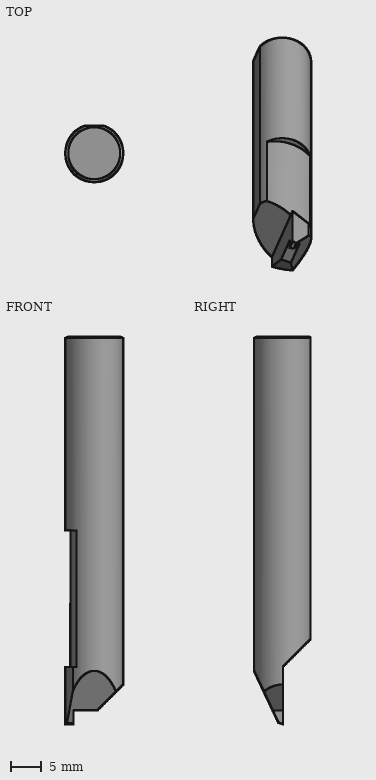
import cadquery as cq

length = 63.5
radius = 4.75
chamfer_width = 0.5
chamfer_height = 0.25
flat_y = 4.5

relief_bottom = 9.4
relief_top = 31.75
relief_depth = 0.8
relief_floor_radius = 7.3

rake_z = 9.45
heel_y = -0.75
heel_z = 0.25
back_z = 8.75
flank_x = -3.5
flank_y = -3.25
finger_width = 1.4
nose_z = 2.3
nose_x = 0.5

margin = 3.2
reach = radius + margin


def prism_along_x(points):
    """Prism across the whole shank from a (Y, Z) outline."""
    return cq.Workplane("YZ").polyline(points).close().extrude(reach, both=True)


def prism_along_y(points):
    """Prism across the whole shank from an (X, Z) outline."""
    return cq.Workplane("XZ").polyline(points).close().extrude(reach, both=True)


def make_shank():
    shank = cq.Workplane("XY").circle(radius).extrude(length)
    shank = shank.faces(">Z").chamfer(chamfer_height, chamfer_width)
    flat_cut = prism_along_x([(flat_y, -margin), (reach, -margin),
                              (reach, length + margin), (flat_y, length + margin)])
    return shank.cut(flat_cut)


def make_relief_cut():
    height = relief_top - relief_bottom
    floor_center_x = relief_floor_radius + relief_depth - radius
    level = cq.Workplane("XY").workplane(offset=relief_bottom)
    block = level.center(-reach / 2, 0).rect(reach, 2 * reach).extrude(height)
    floor = level.center(floor_center_x, 0).circle(relief_floor_radius).extrude(height)
    return block.cut(floor)


def make_rake_cut():
    return prism_along_x([(0, -margin), (reach, -margin), (reach, rake_z + reach), (0, rake_z)])


def make_back_cut():
    slope = (back_z - heel_z) / (heel_y + radius)
    outer_z = heel_z + slope * (heel_y + reach)
    return prism_along_x([(0, 0), (heel_y, heel_z), (-reach, outer_z),
                          (-reach, -margin), (0, -margin)])


def make_flank_cut():
    slope = (flank_x + radius) / flank_y
    end_x = -radius - slope * reach
    outline = [(-radius, 0), (end_x, -reach), (-reach, -reach), (-reach, 0)]
    return cq.Workplane("XY").polyline(outline).close().extrude(relief_bottom)


def make_nose_cut():
    finger_x = -radius + finger_width
    return prism_along_y([(finger_x, -margin), (finger_x, nose_z), (nose_x, nose_z),
                          (reach, nose_z + reach - nose_x), (reach, -margin)])


result = make_shank()
for cutter in (make_relief_cut(), make_rake_cut(), make_back_cut(),
               make_flank_cut(), make_nose_cut()):
    result = result.cut(cutter)